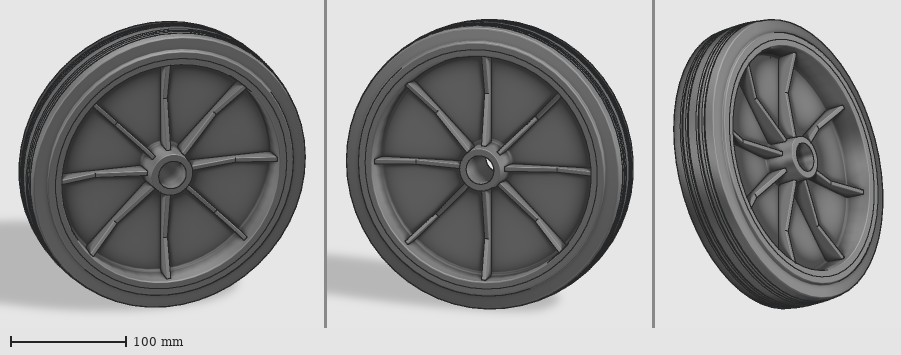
import cadquery as cq
import math

AXLE_START = (0, 0, 0)
AXLE_END = (1, 0, 0)
ROUND_MIDDLE = math.sqrt(0.5)

SEAT_RADIUS = 105.3
RIM_HALF_WIDTH = 25.3

TYRE_RADIUS = 125.5
CROWN_EDGE = (20.0, 124.0)
SHOULDER_MIDDLE = (21.3, 123.5)
SIDEWALL_TOP = (21.8, 122.1)
SIDEWALL_FOOT_X = 22.5
LIP_RADIUS = 110.3
LIP_ROUND = 1.5
LIP_CREST_X = RIM_HALF_WIDTH - LIP_ROUND
LIP_CREST_RADIUS = LIP_RADIUS + LIP_ROUND
LIP_HOLLOW = LIP_CREST_X - SIDEWALL_FOOT_X

GROOVE_OFFSETS = (5.8, 12.0)
GROOVE_WIDTH = 3.0
GROOVE_DEPTH = 0.8

WEB_HALF_THICKNESS = 1.8
BORE_RADIUS = 12.5
HUB_HALF_WIDTH = 58.0 / 2
HUB_END_RADIUS = 37.4 / 2
HUB_ROOT_RADIUS = 20.0
HUB_EDGE_ROUND = 0.8
MOUTH_RADIUS = 99.3
RIM_ROOT_RADIUS = 97.8
MOUTH_ROUND = 1.3
ROOT_FILLET = 3.0

RIB_COUNT = 8
RIB_THICKNESS = 4.0
RIB_EDGE_ROUND = 0.8
RIB_END_HEIGHT = 18.8
RIB_KINK_HEIGHT = 9.5
RIB_KINK_RADIUS = 64.0
RIB_INNER_RADIUS = (BORE_RADIUS + HUB_END_RADIUS) / 2
RIB_OUTER_RADIUS = (MOUTH_RADIUS + SEAT_RADIUS) / 2


def quarter_round(path, center, start, end):
    """Add a quarter circle to the path, from start to end."""
    middle = [
        c + (s - c) * ROUND_MIDDLE + (e - c) * ROUND_MIDDLE
        for c, s, e in zip(center, start, end)
    ]
    return path.threePointArc(tuple(middle), end)


def revolve_about_axle(profile):
    """Turn a closed (x, radius) profile round the axle."""
    return profile.revolve(360, AXLE_START, AXLE_END)


def tread_radius_at(x):
    """Radius of the rounded crown at a distance x from the mid plane."""
    edge_x, edge_radius = CROWN_EDGE
    drop = TYRE_RADIUS - edge_radius
    arc_radius = (edge_x**2 + drop**2) / (2 * drop)
    return TYRE_RADIUS - arc_radius + math.sqrt(arc_radius**2 - x**2)


def make_tyre_flank():
    """Edges of the +X side of the tyre outline, from the wheel seat to the edge of the crown."""
    lip_start = (RIM_HALF_WIDTH, LIP_RADIUS)
    lip_crest = (LIP_CREST_X, LIP_CREST_RADIUS)
    sidewall_foot = (SIDEWALL_FOOT_X, LIP_CREST_RADIUS + LIP_HOLLOW)

    path = cq.Workplane("XY").moveTo(RIM_HALF_WIDTH, SEAT_RADIUS).lineTo(*lip_start)
    path = quarter_round(path, (LIP_CREST_X, LIP_RADIUS), lip_start, lip_crest)
    path = quarter_round(path, (LIP_CREST_X, sidewall_foot[1]), lip_crest, sidewall_foot)
    path = path.lineTo(*SIDEWALL_TOP).threePointArc(SHOULDER_MIDDLE, CROWN_EDGE)
    return path.wire().val().Edges()


def make_tyre_blank():
    """The tyre without its grooves; one arc makes the whole crown."""
    edge_x, edge_radius = CROWN_EDGE
    flank = make_tyre_flank()
    opposite_flank = [edge.mirror("YZ") for edge in flank]
    crown = cq.Edge.makeThreePointArc(
        cq.Vector(-edge_x, edge_radius), cq.Vector(0, TYRE_RADIUS), cq.Vector(edge_x, edge_radius)
    )
    seat = cq.Edge.makeLine(
        cq.Vector(-RIM_HALF_WIDTH, SEAT_RADIUS), cq.Vector(RIM_HALF_WIDTH, SEAT_RADIUS)
    )
    outline = cq.Wire.combine([seat, *flank, crown, *opposite_flank])[0]
    return revolve_about_axle(cq.Workplane("XY").add(outline).toPending())


def make_groove(x):
    """V-shaped ring cutter, twice as deep and wide as the groove so that it clears the tread."""
    tread = tread_radius_at(x)
    profile = cq.Workplane("XY").polyline([
        (x, tread - GROOVE_DEPTH),
        (x + GROOVE_WIDTH, tread + GROOVE_DEPTH),
        (x - GROOVE_WIDTH, tread + GROOVE_DEPTH),
    ]).close()
    return revolve_about_axle(profile)


def make_tyre():
    tyre = make_tyre_blank()
    for offset in GROOVE_OFFSETS:
        for x in (-offset, offset):
            tyre = tyre.cut(make_groove(x))
    return tyre


def make_wheel_blank():
    """Hub, web and rim in one turned piece."""
    hub_edge_x = HUB_HALF_WIDTH - HUB_EDGE_ROUND
    hub_edge_radius = HUB_END_RADIUS - HUB_EDGE_ROUND
    root_x = WEB_HALF_THICKNESS + ROOT_FILLET
    web_inner_radius = HUB_ROOT_RADIUS + ROOT_FILLET
    web_outer_radius = RIM_ROOT_RADIUS - ROOT_FILLET
    mouth_x = RIM_HALF_WIDTH - MOUTH_ROUND
    face_radius = MOUTH_RADIUS + MOUTH_ROUND

    half = cq.Workplane("XY").moveTo(0, BORE_RADIUS).lineTo(HUB_HALF_WIDTH, BORE_RADIUS)
    half = half.lineTo(HUB_HALF_WIDTH, hub_edge_radius)
    half = quarter_round(
        half, (hub_edge_x, hub_edge_radius), (HUB_HALF_WIDTH, hub_edge_radius), (hub_edge_x, HUB_END_RADIUS)
    )
    half = half.lineTo(root_x, HUB_ROOT_RADIUS)
    half = quarter_round(
        half, (root_x, web_inner_radius), (root_x, HUB_ROOT_RADIUS), (WEB_HALF_THICKNESS, web_inner_radius)
    )
    half = half.lineTo(WEB_HALF_THICKNESS, web_outer_radius)
    half = quarter_round(
        half, (root_x, web_outer_radius), (WEB_HALF_THICKNESS, web_outer_radius), (root_x, RIM_ROOT_RADIUS)
    )
    half = half.lineTo(mouth_x, MOUTH_RADIUS)
    half = quarter_round(
        half, (mouth_x, face_radius), (mouth_x, MOUTH_RADIUS), (RIM_HALF_WIDTH, face_radius)
    )
    half = half.lineTo(RIM_HALF_WIDTH, SEAT_RADIUS).lineTo(0, SEAT_RADIUS)
    return revolve_about_axle(half.mirrorY())


def make_rib():
    """Radial rib on both sides of the web, lowest at the kink, pointing along +Z."""
    half = cq.Workplane("XZ").moveTo(0, RIB_INNER_RADIUS)
    half = half.lineTo(RIB_END_HEIGHT, RIB_INNER_RADIUS)
    half = half.lineTo(RIB_END_HEIGHT, HUB_END_RADIUS)
    half = half.lineTo(RIB_KINK_HEIGHT, RIB_KINK_RADIUS)
    half = half.lineTo(RIB_END_HEIGHT, MOUTH_RADIUS)
    half = half.lineTo(RIB_END_HEIGHT, RIB_OUTER_RADIUS)
    half = half.lineTo(0, RIB_OUTER_RADIUS)
    rib = half.mirrorY().extrude(RIB_THICKNESS / 2, both=True)
    return rib.faces("|Y").edges("not |X").fillet(RIB_EDGE_ROUND)


def make_wheel():
    wheel = make_wheel_blank().clean()
    rib = make_rib()
    for index in range(RIB_COUNT):
        wheel = wheel.union(rib.rotate(AXLE_START, AXLE_END, index * 360 / RIB_COUNT))
    return wheel


tyre = make_tyre()
wheel = make_wheel()
result = cq.Compound.makeCompound([tyre.val(), wheel.val()])